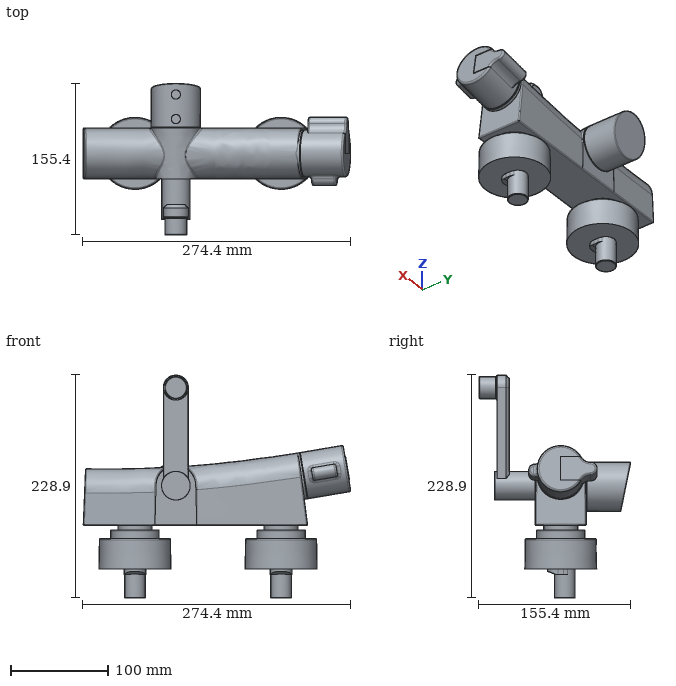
import cadquery as cq
import math


BODY_BASE_HALF_WIDTH = 26.2
BODY_ARCH_RADIUS = 25.6
BODY_LEFT_BASE_X = -53.1
BODY_LEFT_TOP_X = -50.0
BODY_RIGHT_BASE_X = 177.3
BODY_RIGHT_TOP_X = 167.5
BODY_TOP_LIMIT_Z = 76.0
BODY_END_MARGIN = 2.0
BODY_EDGE_ROUND = 1.2
BODY_CREST = [
    (BODY_LEFT_BASE_X - BODY_END_MARGIN, 58.3),
    (20.0, 59.3),
    (65.0, 62.0),
    (110.0, 66.6),
    (BODY_RIGHT_BASE_X + BODY_END_MARGIN, 76.2),
]

CROSS_X = 42.0
HUB_FRONT_Y = -BODY_BASE_HALF_WIDTH
HUB_BACK_Y = BODY_BASE_HALF_WIDTH
HUB_MARGIN = 6.0
HUB_FRONT_RADIUS = 20.3
HUB_FRONT_AXIS_Z = 41.2
HUB_FILLET = 1.5
SPOUT_JOINT_WIDTH = 0.8
SPOUT_JOINT_DEPTH = 0.6

SPOUT_RADIUS = 25.3
SPOUT_AXIS_Z = 39.6
SPOUT_TOP_Y = 71.95
SPOUT_BOTTOM_Y = 61.6
SPOUT_EDGE_ROUND = 0.8
SCREW_RADIUS = 4.7
SCREW_PROUD = 0.4
SCREW_DEPTH = 5.0
SCREW_POSITIONS_Y = [35.2, 60.4]

SPINDLE_RADIUS = 14.7
SPINDLE_AXIS_Z = 40.8
SPINDLE_END_Y = -67.8
BAR_FRONT_Y = -65.5
BAR_THICKNESS = 12.9
BAR_HALF_WIDTH = 12.9
BAR_TOP_Z = 154.3
BAR_BOTTOM_Z = 48.0
BAR_BACK_CHAMFER = 3.6
BAR_FRONT_ROUND = 0.8
FINGER_RADIUS = 11.4
FINGER_END_Y = -83.64
FINGER_SEAT_RADIUS = 12.7
FINGER_SEAT_HEIGHT = 0.6
FINGER_NECK_RADIUS = 10.8
FINGER_NECK_LENGTH = 1.5
FINGER_AXIS_Z = BAR_TOP_Z - BAR_HALF_WIDTH

KNOB_TILT = 9.6
KNOB_RADIUS = 24.1
KNOB_START_X = 172.9
KNOB_START_Z = 51.0
KNOB_LENGTH = 45.4
KNOB_ROOT = 15.0
KNOB_END_CLEARANCE = 4.0
KNOB_END_ROUND = 2.0
JOINT_GROOVE_WIDTH = 0.8
JOINT_GROOVE_DEPTH = 0.8
GRIP_NOSE_RADIUS = 6.6
GRIP_END_ROUND = 2.0
BUTTON_FOOT_ROUND = 4.0
BUTTON_START = 9.2
BUTTON_LENGTH = 25.5
BUTTON_TIP = 33.0
HANDLE_START = 5.5
HANDLE_LENGTH = 40.5
HANDLE_TIP = 37.3
HANDLE_FOOT_HALF_WIDTH = 12.3

INLET_SPACING = 150.0
NECK_RADIUS = 17.6
NECK_TOP_Z = 5.0
NECK_BOTTOM_Z = -4.5
COLLAR_RADIUS = 24.9
COLLAR_BOTTOM_Z = -13.5
FLANGE_TOP_RADIUS = 36.5
FLANGE_RADIUS = 37.0
FLANGE_BOTTOM_Z = -44.9
INLET_EDGE_ROUND = 1.2
TAIL_RADIUS = 10.7
TAIL_OFFSET_Y = 4.2
TAIL_BOTTOM_Z = -74.62
TAIL_CHAMFER = 0.7
STEP_WIDTH = 22.4
STEP_LENGTH = 27.6
STEP_BOTTOM_Z = -50.3
STEP_LOW_SIDE_Z = -47.0
STEP_SLANT_START_Y = -5.0


def cylinder_along_y(x, z, radius, y_start, y_end):
    """Cylinder parallel to Y between two Y positions."""
    length = abs(y_end - y_start)
    direction = cq.Vector(0, math.copysign(1, y_end - y_start), 0)
    return cq.Workplane(obj=cq.Solid.makeCylinder(radius, length, cq.Vector(x, y_start, z), direction))


def arch_wire(plane, base_half_width, radius, crest):
    """Closed arch outline whose straight sides run tangent into the crown."""
    axis_height = crest - radius
    reach = math.hypot(base_half_width, axis_height)
    angle = math.acos(radius / reach) - math.atan2(axis_height, base_half_width)
    spring_x = radius * math.cos(angle)
    spring_height = axis_height + radius * math.sin(angle)
    return (
        cq.Workplane(plane)
        .moveTo(-base_half_width, 0)
        .lineTo(-spring_x, spring_height)
        .threePointArc((0, crest), (spring_x, spring_height))
        .lineTo(base_half_width, 0)
        .close()
        .val()
    )


def make_bar():
    """Arched bar, a little longer than the finished body."""
    sections = []
    for x, crest in BODY_CREST:
        plane = cq.Plane(origin=(x, 0, 0), xDir=(0, 1, 0), normal=(1, 0, 0))
        sections.append(arch_wire(plane, BODY_BASE_HALF_WIDTH, BODY_ARCH_RADIUS, crest))
    return cq.Workplane(obj=cq.Solid.makeLoft(sections))


def make_hub():
    """Tapered arch, running past the front and back of the body."""
    depth = HUB_BACK_Y - HUB_FRONT_Y
    radius_slope = (SPOUT_RADIUS - HUB_FRONT_RADIUS) / depth
    axis_slope = (SPOUT_AXIS_Z - HUB_FRONT_AXIS_Z) / depth
    sections = []
    for y in (HUB_FRONT_Y - HUB_MARGIN, HUB_BACK_Y + HUB_MARGIN):
        radius = HUB_FRONT_RADIUS + radius_slope * (y - HUB_FRONT_Y)
        axis_z = HUB_FRONT_AXIS_Z + axis_slope * (y - HUB_FRONT_Y)
        plane = cq.Plane(origin=(CROSS_X, y, 0), xDir=(1, 0, 0), normal=(0, -1, 0))
        sections.append(arch_wire(plane, radius, radius, axis_z + radius))
    return cq.Workplane(obj=cq.Solid.makeLoft(sections, True))


def make_body():
    """Bar and hub with a filleted seam, trimmed to slanted ends and flat front and back."""
    joined = make_bar().union(make_hub())
    seams = [
        edge
        for edge in joined.edges("%BSPLINE").vals()
        if edge.BoundingBox().ylen > BODY_ARCH_RADIUS
        and edge.BoundingBox().xlen < SPOUT_RADIUS
        and abs(edge.Center().x - CROSS_X) < SPOUT_RADIUS
    ]
    joined = joined.newObject(seams).fillet(HUB_FILLET)
    trim = (
        cq.Workplane("XZ")
        .moveTo(BODY_LEFT_BASE_X, 0)
        .lineTo(BODY_RIGHT_BASE_X, 0)
        .lineTo(BODY_RIGHT_TOP_X, BODY_TOP_LIMIT_Z)
        .lineTo(BODY_LEFT_TOP_X, BODY_TOP_LIMIT_Z)
        .close()
        .extrude(BODY_BASE_HALF_WIDTH, both=True)
    )
    body = joined.intersect(trim).faces("<X or >X").edges().fillet(BODY_EDGE_ROUND)
    return body.intersect(trim.faces("<Z").edges().fillet(BODY_EDGE_ROUND))


def make_spout():
    """Spout with a slanted mouth, a joint groove at the hub and two screws on top."""
    low_z = SPOUT_AXIS_Z - SPOUT_RADIUS
    high_z = SPOUT_AXIS_Z + SPOUT_RADIUS
    side_profile = (
        cq.Workplane("YZ", origin=(CROSS_X, 0, 0))
        .moveTo(0, low_z)
        .lineTo(SPOUT_BOTTOM_Y, low_z)
        .lineTo(SPOUT_TOP_Y, high_z)
        .lineTo(0, high_z)
        .close()
        .extrude(SPOUT_RADIUS, both=True)
    )
    spout = cylinder_along_y(CROSS_X, SPOUT_AXIS_Z, SPOUT_RADIUS, HUB_BACK_Y, SPOUT_TOP_Y)
    spout = spout.intersect(side_profile).faces(">Y").edges().fillet(SPOUT_EDGE_ROUND)
    screws = (
        cq.Workplane("XY", origin=(CROSS_X, 0, high_z + SCREW_PROUD))
        .pushPoints([(0, y) for y in SCREW_POSITIONS_Y])
        .circle(SCREW_RADIUS)
        .extrude(-SCREW_DEPTH)
    )
    joint_end_y = HUB_BACK_Y + SPOUT_JOINT_WIDTH
    outer_radius = SPOUT_RADIUS + SPOUT_JOINT_DEPTH
    inner_radius = SPOUT_RADIUS - SPOUT_JOINT_DEPTH
    joint = cylinder_along_y(CROSS_X, SPOUT_AXIS_Z, outer_radius, HUB_BACK_Y, joint_end_y)
    core = cylinder_along_y(CROSS_X, SPOUT_AXIS_Z, inner_radius, HUB_BACK_Y, SPOUT_BOTTOM_Y)
    return spout.cut(joint.cut(core)).union(screws)


def make_lever():
    """Spindle, upright bar and the finger knob on its seat."""
    spindle = cylinder_along_y(CROSS_X, SPINDLE_AXIS_Z, SPINDLE_RADIUS, 0, SPINDLE_END_Y)
    bar = (
        cq.Workplane("XZ", origin=(CROSS_X, BAR_FRONT_Y, 0))
        .moveTo(-BAR_HALF_WIDTH, BAR_BOTTOM_Z)
        .lineTo(-BAR_HALF_WIDTH, FINGER_AXIS_Z)
        .threePointArc((0, BAR_TOP_Z), (BAR_HALF_WIDTH, FINGER_AXIS_Z))
        .lineTo(BAR_HALF_WIDTH, BAR_BOTTOM_Z)
        .close()
        .extrude(-BAR_THICKNESS)
    )
    bar = bar.faces(">Y").edges().chamfer(BAR_BACK_CHAMFER)
    bar = bar.faces("<Y").edges().fillet(BAR_FRONT_ROUND)
    neck_end_y = BAR_FRONT_Y - FINGER_NECK_LENGTH
    seat_start_y = BAR_FRONT_Y + BAR_FRONT_ROUND
    seat_end_y = BAR_FRONT_Y - FINGER_SEAT_HEIGHT
    seat = cylinder_along_y(CROSS_X, FINGER_AXIS_Z, FINGER_SEAT_RADIUS, seat_start_y, seat_end_y)
    neck = cylinder_along_y(CROSS_X, FINGER_AXIS_Z, FINGER_NECK_RADIUS, BAR_FRONT_Y, neck_end_y)
    finger = cylinder_along_y(CROSS_X, FINGER_AXIS_Z, FINGER_RADIUS, neck_end_y, FINGER_END_Y)
    finger = finger.faces("<Y").edges().fillet(BAR_FRONT_ROUND)
    return spindle.union(bar).union(seat).union(neck).union(finger)


def knob_plane(distance):
    """Plane square to the knob axis; local x is +Y and local y is up."""
    tilt = math.radians(KNOB_TILT)
    axis = cq.Vector(math.cos(tilt), 0, math.sin(tilt))
    origin = cq.Vector(KNOB_START_X, 0, KNOB_START_Z) + axis * distance
    return cq.Plane(origin=origin, xDir=(0, 1, 0), normal=axis)


def grip_plane(side, distance):
    """Plane square to the knob axis with its local x pointing to +Y (side 1) or -Y (side -1)."""
    base = knob_plane(distance)
    return cq.Plane(origin=base.origin, xDir=(0, side, 0), normal=base.zDir)


def make_handle():
    """Round-nosed grip with hollow flanks that run out onto the knob."""
    foot_z = HANDLE_FOOT_HALF_WIDTH
    foot_y = math.sqrt(KNOB_RADIUS**2 - foot_z**2)
    nose_y = HANDLE_TIP - GRIP_NOSE_RADIUS
    rise = foot_z - GRIP_NOSE_RADIUS
    run = nose_y - foot_y
    flank_radius = (run**2 + rise**2) / (2 * rise)
    half_sweep = math.asin(run / flank_radius) / 2
    flank_y = nose_y - flank_radius * math.sin(half_sweep)
    flank_z = GRIP_NOSE_RADIUS + flank_radius * (1 - math.cos(half_sweep))
    handle = (
        cq.Workplane(grip_plane(1, HANDLE_START))
        .moveTo(0, foot_z)
        .lineTo(foot_y, foot_z)
        .threePointArc((flank_y, flank_z), (nose_y, GRIP_NOSE_RADIUS))
        .threePointArc((HANDLE_TIP, 0), (nose_y, -GRIP_NOSE_RADIUS))
        .threePointArc((flank_y, -flank_z), (foot_y, -foot_z))
        .lineTo(0, -foot_z)
        .close()
        .extrude(HANDLE_LENGTH)
    )
    end_edges = handle.faces("<X or >X").edges("%CIRCLE")
    return end_edges.fillet(GRIP_END_ROUND)


def add_button(knob):
    """Join the small round-nosed button to the knob with a filleted foot."""
    nose_y = BUTTON_TIP - GRIP_NOSE_RADIUS
    button = (
        cq.Workplane(grip_plane(-1, BUTTON_START))
        .moveTo(0, GRIP_NOSE_RADIUS)
        .lineTo(nose_y, GRIP_NOSE_RADIUS)
        .threePointArc((BUTTON_TIP, 0), (nose_y, -GRIP_NOSE_RADIUS))
        .lineTo(0, -GRIP_NOSE_RADIUS)
        .close()
        .extrude(BUTTON_LENGTH)
    )
    button = button.faces("<X or >X").edges().fillet(GRIP_END_ROUND)
    joined = knob.union(button)
    far_x = KNOB_START_X + KNOB_LENGTH - KNOB_END_CLEARANCE
    feet = joined.edges(
        cq.selectors.BoxSelector(
            (KNOB_START_X, -KNOB_RADIUS, KNOB_START_Z - KNOB_RADIUS),
            (far_x, -KNOB_RADIUS / 2, KNOB_START_Z + KNOB_RADIUS),
        )
    )
    return feet.fillet(BUTTON_FOOT_ROUND)


def make_knob():
    """Tilted knob with a joint groove, the small button and the large handle."""
    knob = cq.Workplane(knob_plane(-KNOB_ROOT)).circle(KNOB_RADIUS).extrude(KNOB_ROOT + KNOB_LENGTH)
    knob = add_button(knob)
    knob = knob.faces(">X").edges().fillet(KNOB_END_ROUND)
    groove = (
        cq.Workplane(knob_plane(0))
        .circle(KNOB_RADIUS + JOINT_GROOVE_DEPTH)
        .circle(KNOB_RADIUS - JOINT_GROOVE_DEPTH)
        .extrude(JOINT_GROOVE_WIDTH)
    )
    return knob.cut(groove).union(make_handle())


def make_inlet(x):
    """Wall connection: neck, collar, flange, slanted step and eccentric tail."""
    neck = (
        cq.Workplane("XY", origin=(x, 0, NECK_BOTTOM_Z))
        .circle(NECK_RADIUS)
        .extrude(NECK_TOP_Z - NECK_BOTTOM_Z)
    )
    collar = (
        cq.Workplane("XY", origin=(x, 0, COLLAR_BOTTOM_Z))
        .circle(COLLAR_RADIUS)
        .extrude(NECK_BOTTOM_Z - COLLAR_BOTTOM_Z)
        .faces(">Z")
        .edges()
        .fillet(INLET_EDGE_ROUND)
    )
    flange_height = COLLAR_BOTTOM_Z - FLANGE_BOTTOM_Z
    flange_base = cq.Vector(x, 0, FLANGE_BOTTOM_Z)
    flange = cq.Workplane(
        obj=cq.Solid.makeCone(FLANGE_RADIUS, FLANGE_TOP_RADIUS, flange_height, flange_base)
    )
    flange = flange.faces(">Z").edges().fillet(INLET_EDGE_ROUND)
    tail = (
        cq.Workplane("XY", origin=(x, TAIL_OFFSET_Y, TAIL_BOTTOM_Z))
        .circle(TAIL_RADIUS)
        .extrude(FLANGE_BOTTOM_Z - TAIL_BOTTOM_Z)
        .faces("<Z")
        .edges()
        .chamfer(TAIL_CHAMFER)
    )
    step = (
        cq.Workplane("XY", origin=(x, 0, FLANGE_BOTTOM_Z))
        .slot2D(STEP_LENGTH, STEP_WIDTH, 90)
        .extrude(STEP_BOTTOM_Z - FLANGE_BOTTOM_Z)
    )
    slant = (
        cq.Workplane("YZ", origin=(x, 0, 0))
        .moveTo(STEP_SLANT_START_Y, STEP_BOTTOM_Z)
        .lineTo(-STEP_LENGTH / 2, STEP_LOW_SIDE_Z)
        .lineTo(-STEP_LENGTH / 2, STEP_BOTTOM_Z)
        .close()
        .extrude(STEP_WIDTH, both=True)
    )
    return neck.union(collar).union(flange).union(step.cut(slant)).union(tail)


result = make_body().union(make_spout()).union(make_lever()).union(make_knob())
for inlet_x in (0, INLET_SPACING):
    result = result.union(make_inlet(inlet_x))